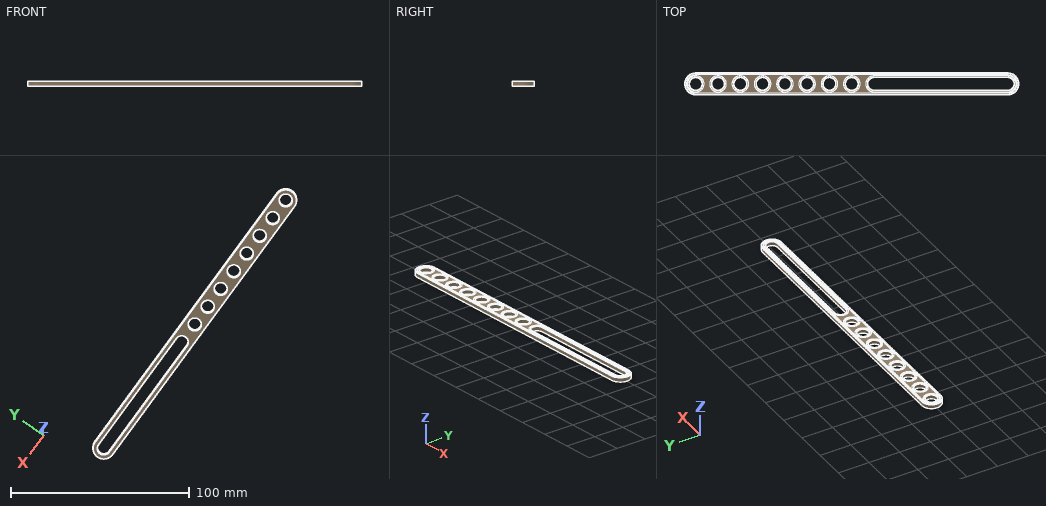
import cadquery as cq

length = 187.5
pitch_count = 15
pitch = length / pitch_count
width = pitch
thickness = 3.2

hole_count = 8
hole_diameter = 7.0
ring_diameter = 9.2

rim_width = 1.1
recess_depth = 0.25

bevel = 0.34

first_hole_x = -length / 2 + pitch / 2
hole_centers = [(first_hole_x + i * pitch, 0) for i in range(hole_count)]
slot_start_x = first_hole_x + hole_count * pitch
slot_end_x = length / 2 - pitch / 2


def rounded_bar(bar_length, bar_width, center_x, bottom, height):
    """Upright bar with full-round ends, lying along X."""
    return (
        cq.Workplane("XY", origin=(center_x, 0, bottom))
        .slot2D(bar_length, bar_width)
        .extrude(height)
    )


def openings(diameter, bottom, height):
    """Round holes followed by the long slot, all of one width."""
    holes = (
        cq.Workplane("XY", origin=(0, 0, bottom))
        .pushPoints(hole_centers)
        .circle(diameter / 2)
        .extrude(height)
    )
    slot_length = slot_end_x - slot_start_x + diameter
    slot_center_x = (slot_start_x + slot_end_x) / 2
    return holes.union(rounded_bar(slot_length, diameter, slot_center_x, bottom, height))


floor = thickness - recess_depth
recess = rounded_bar(length - 2 * rim_width, width - 2 * rim_width, 0, floor, recess_depth)
recess = recess.cut(openings(ring_diameter, floor, recess_depth))

strip = rounded_bar(length, width, 0, 0, thickness)
strip = strip.cut(openings(hole_diameter, 0, thickness))
strip = strip.faces("<Z or >Z").edges().chamfer(bevel)

result = strip.cut(recess)